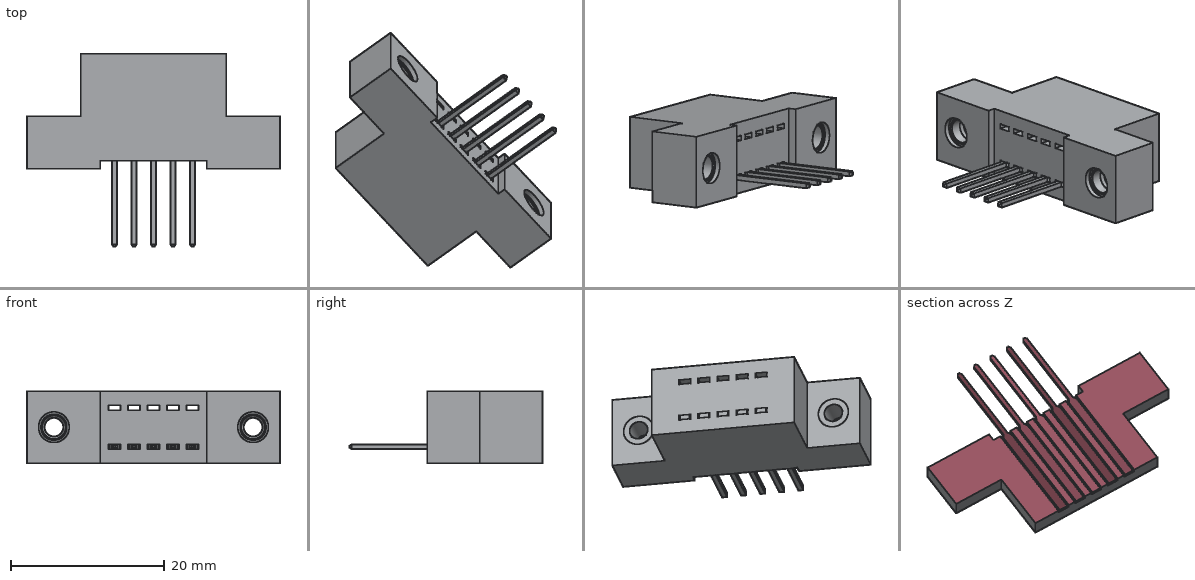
import cadquery as cq


flange_length = 33.02
flange_depth = 6.87
body_length = 19.0
housing_depth = 15.02
housing_height = 9.4
recess_length = 13.87
recess_depth = 1.05

contact_count = 5
pitch = 2.55
row_offset = pitch
slot_width = 1.55
slot_height = 0.63

pin_width = 0.65
pin_reach = 10.15
tip_length = 0.3
tip_inset = 0.2
shoulder_width = 1.25
shoulder_taper = 0.6

insert_offset = 12.98
insert_diameter = 4.0
insert_setback = 0.7
mouth_diameter = 3.4
mouth_depth = 0.13
bore_diameter = 3.07
bore_depth = 1.42
throat_diameter = 2.4
throat_taper = 0.4

contact_positions = [(i - (contact_count - 1) / 2) * pitch for i in range(contact_count)]
insert_positions = [-insert_offset, insert_offset]


def box_along_y(width, height, y_start, y_end, x=0.0, z=0.0):
    """Block centred on (x, z) that runs from y_start to y_end."""
    return cq.Workplane("XY").box(width, y_end - y_start, height).translate((x, (y_start + y_end) / 2, z))


def make_housing():
    """Flanged block with a front recess, two rows of slots and two insert bores."""
    flange = box_along_y(flange_length, housing_height, 0, flange_depth)
    body = box_along_y(body_length, housing_height, 0, housing_depth)
    recess = box_along_y(recess_length, housing_height, 0, recess_depth)
    housing = flange.union(body).cut(recess)
    for x in contact_positions:
        for z in (-row_offset, row_offset):
            housing = housing.cut(box_along_y(slot_width, slot_height, 0, housing_depth, x, z))
    for x in insert_positions:
        bore = cq.Workplane("XZ").center(x, 0).circle(insert_diameter / 2).extrude(-flange_depth)
        housing = housing.cut(bore)
    return housing


def make_pin(x):
    """Square pin with a four-sided tip, widening from the slot mouth to a flat shoulder."""
    half_pin = pin_width / 2
    half_shoulder = shoulder_width / 2
    taper_start = recess_depth
    taper_end = taper_start + shoulder_taper
    tip_base = tip_length - pin_reach
    blade = (
        cq.Workplane("XY")
        .workplane(offset=-slot_height / 2)
        .moveTo(-half_pin, tip_base)
        .lineTo(half_pin, tip_base)
        .lineTo(half_pin, taper_start)
        .lineTo(half_shoulder, taper_end)
        .lineTo(half_shoulder, housing_depth)
        .lineTo(-half_shoulder, housing_depth)
        .lineTo(-half_shoulder, taper_end)
        .lineTo(-half_pin, taper_start)
        .close()
        .extrude(slot_height)
    )
    tip = (
        cq.Workplane("XZ", origin=(0, tip_base, 0))
        .rect(pin_width, slot_height)
        .workplane(offset=tip_length)
        .rect(pin_width - 2 * tip_inset, slot_height - 2 * tip_inset)
        .loft(ruled=True)
    )
    return blade.union(tip).translate((x, 0, -row_offset))


def make_insert(x):
    """Sleeve with a countersunk mouth and a bore that narrows to a throat."""
    mouth_end = insert_setback + mouth_depth
    bore_end = mouth_end + bore_depth
    throat_start = bore_end + throat_taper
    profile = (
        cq.Workplane("XY")
        .moveTo(insert_diameter / 2, insert_setback)
        .lineTo(mouth_diameter / 2, insert_setback)
        .lineTo(bore_diameter / 2, mouth_end)
        .lineTo(bore_diameter / 2, bore_end)
        .lineTo(throat_diameter / 2, throat_start)
        .lineTo(throat_diameter / 2, flange_depth)
        .lineTo(insert_diameter / 2, flange_depth)
        .close()
    )
    return profile.revolve(360, (0, 0, 0), (0, 1, 0)).translate((x, 0, 0))


housing = make_housing()
pins = [make_pin(x) for x in contact_positions]
inserts = [make_insert(x) for x in insert_positions]

result = cq.Compound.makeCompound(
    [housing.val(), *[pin.val() for pin in pins], *[insert.val() for insert in inserts]]
)